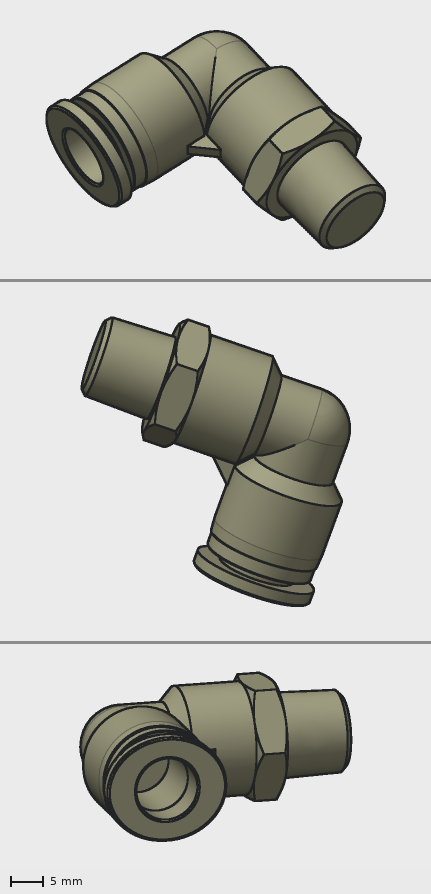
import cadquery as cq
import math


TUBE_RADIUS = 6.5
BODY_RADIUS = 17.6 / 2
STUD_CONE_START = 6.6
STUD_CONE_END = 8.85
ELBOW_STUD_END = 19.0
PORT_CONE_START = 6.7
PORT_CONE_END = 9.1
PORT_TAPER_START = 18.2
ELBOW_PORT_END = 20.2
PORT_END_RADIUS = 8.65
GUSSET_REACH = 12.4
GUSSET_THICKNESS = 2.0

BORE_RADIUS = 9.75 / 2
BORE_FLOOR = PORT_CONE_END

HEX_SIDES = 6
HEX_ACROSS_FLATS = 17.6
HEX_THICKNESS = 5.0
HEX_CHAMFER_ANGLE = 30
STUD_END = 35.0
THREAD_BASE_RADIUS = 6.7
THREAD_TIP_RADIUS = 6.4
THREAD_CHAMFER = 0.8

COLLAR_RADIUS = 16.9 / 2
COLLAR_END = 22.5
COLLAR_CHAMFER = 0.15
NECK_RADIUS = 11.9 / 2
FLANGE_START = 23.85
FLANGE_END = 26.02
FLANGE_WIDTH = 19.0
FLANGE_HEIGHT = 16.5
FLANGE_CHAMFER = 0.3
BORE_CHAMFER = 0.3


def revolve_about_x(profile):
    """Revolve (distance along +X, radius) points about the stud axis."""
    return cq.Workplane("XY").polyline(profile).close().revolve(360, (0, 0), (1, 0))


def revolve_about_y(profile):
    """Revolve (distance along -Y, radius) points about the port axis."""
    points = [(radius, -distance) for distance, radius in profile]
    return cq.Workplane("XY").polyline(points).close().revolve(360, (0, 0), (0, 1))


def port_cylinder(radius, start, end):
    """Cylinder on the port axis between two distances along -Y."""
    return cq.Workplane("XZ", origin=(0, -start, 0)).circle(radius).extrude(end - start)


def make_elbow():
    stud_arm = revolve_about_x([
        (0, 0),
        (0, TUBE_RADIUS),
        (STUD_CONE_START, TUBE_RADIUS),
        (STUD_CONE_END, BODY_RADIUS),
        (ELBOW_STUD_END, BODY_RADIUS),
        (ELBOW_STUD_END, 0),
    ])
    port_arm = revolve_about_y([
        (0, 0),
        (0, TUBE_RADIUS),
        (PORT_CONE_START, TUBE_RADIUS),
        (PORT_CONE_END, BODY_RADIUS),
        (PORT_TAPER_START, BODY_RADIUS),
        (ELBOW_PORT_END, PORT_END_RADIUS),
        (ELBOW_PORT_END, 0),
    ])
    corner = cq.Workplane("XY").sphere(TUBE_RADIUS)
    gusset = (
        cq.Workplane("XY", origin=(0, 0, -GUSSET_THICKNESS / 2))
        .polyline([
            (TUBE_RADIUS, -TUBE_RADIUS),
            (GUSSET_REACH, -TUBE_RADIUS),
            (GUSSET_REACH, -BODY_RADIUS),
            (BODY_RADIUS, -GUSSET_REACH),
            (TUBE_RADIUS, -GUSSET_REACH),
        ])
        .close()
        .extrude(GUSSET_THICKNESS)
    )
    bore = port_cylinder(BORE_RADIUS, BORE_FLOOR, ELBOW_PORT_END)
    return stud_arm.union(port_arm).union(corner).union(gusset).cut(bore)


def make_stud():
    hex_end = ELBOW_STUD_END + HEX_THICKNESS
    flat_radius = HEX_ACROSS_FLATS / 2
    corner_radius = flat_radius / math.cos(math.pi / HEX_SIDES)
    chamfer_depth = (corner_radius - flat_radius) * math.tan(math.radians(HEX_CHAMFER_ANGLE))

    hexagon = (
        cq.Workplane("YZ", origin=(ELBOW_STUD_END, 0, 0))
        .polygon(HEX_SIDES, 2 * corner_radius)
        .extrude(HEX_THICKNESS)
    )
    chamfer_envelope = revolve_about_x([
        (ELBOW_STUD_END, 0),
        (ELBOW_STUD_END, flat_radius),
        (ELBOW_STUD_END + chamfer_depth, corner_radius),
        (hex_end - chamfer_depth, corner_radius),
        (hex_end, flat_radius),
        (hex_end, 0),
    ])
    thread = revolve_about_x([
        (hex_end, 0),
        (hex_end, THREAD_BASE_RADIUS),
        (STUD_END - THREAD_CHAMFER, THREAD_TIP_RADIUS),
        (STUD_END, THREAD_TIP_RADIUS - THREAD_CHAMFER),
        (STUD_END, 0),
    ])
    return hexagon.intersect(chamfer_envelope).union(thread)


def make_release_sleeve():
    collar = port_cylinder(COLLAR_RADIUS, ELBOW_PORT_END, COLLAR_END)
    collar = collar.faces("<Y").chamfer(COLLAR_CHAMFER)
    neck = port_cylinder(NECK_RADIUS, COLLAR_END, FLANGE_START)
    flange = (
        cq.Workplane("XZ", origin=(0, -FLANGE_START, 0))
        .ellipse(FLANGE_WIDTH / 2, FLANGE_HEIGHT / 2)
        .extrude(FLANGE_END - FLANGE_START)
        .faces("<Y")
        .chamfer(FLANGE_CHAMFER)
    )
    bore = revolve_about_y([
        (ELBOW_PORT_END, 0),
        (ELBOW_PORT_END, BORE_RADIUS),
        (FLANGE_END - BORE_CHAMFER, BORE_RADIUS),
        (FLANGE_END, BORE_RADIUS + BORE_CHAMFER),
        (FLANGE_END, 0),
    ])
    return collar.union(neck).union(flange).cut(bore)


elbow = make_elbow()
stud = make_stud()
release_sleeve = make_release_sleeve()

result = cq.Compound.makeCompound([elbow.val(), stud.val(), release_sleeve.val()])